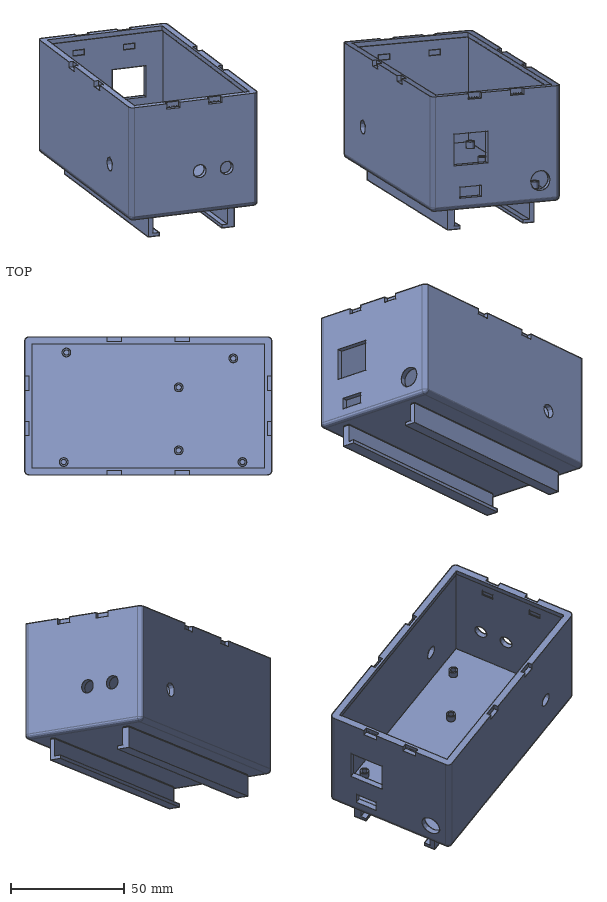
import cadquery as cq

LENGTH = 109.2
WIDTH = 61.0
TOTAL_HEIGHT = 62.5
LEG_HEIGHT = 9.9
BOX_HEIGHT = TOTAL_HEIGHT - LEG_HEIGHT
EDGE_RADIUS = 2.0

RIM_WALL = 3.2
LIP_HEIGHT = 2.2
WALL = 2.5
FLOOR = 2.5

NOTCH_LENGTH = 6.2
NOTCH_DEPTH = 2.0
NOTCH_HEIGHT = 2.5
NOTCH_SPACING_LONG = 30.0
NOTCH_SPACING_SHORT = 20.0

SNAP_LENGTH = 5.5
SNAP_HEIGHT = 2.5
SNAP_DEPTH = 0.7
SNAP_SPACING = 24.0
SNAP_TOP = BOX_HEIGHT - 6.8

POST_DIAMETER = 3.8
POST_BORE = 2.4
POST_HEIGHT = 3.0
POST_CENTERS = [
    (-36.1, 23.6),
    (37.6, 21.0),
    (13.4, 8.2),
    (13.4, -19.7),
    (-37.3, -24.8),
    (41.6, -24.8),
]

SIDE_HOLE_DIAMETER = 6.0
SIDE_HOLE_Z = BOX_HEIGHT - 33.1
LONG_SIDE_HOLE_X = 30.1
END_HOLE_YS = [15.4, 2.5]

WINDOW_WIDTH, WINDOW_HEIGHT = 15.9, 14.4
WINDOW_Y, WINDOW_Z = 11.9, 27.5
SLOT_WIDTH, SLOT_HEIGHT = 10.2, 5.0
SLOT_Y, SLOT_Z = 12.0, 7.9
CABLE_HOLE_DIAMETER = 9.0
CABLE_HOLE_Y, CABLE_HOLE_Z = -21.0, 10.0

LEG_LENGTH = 99.2
LEG_INNER_Y = 17.7
LEG_BACK_THICKNESS = 3.3
LEG_FRONT_THICKNESS = 2.3
HOOK_REACH_BACK = 2.6
HOOK_REACH_FRONT = 3.0
HOOK_HEIGHT = 1.5
LEG_CHAMFER_HEIGHT = 0.5
LEG_CHAMFER_INSET = 0.3


def block(x_size, y_size, z_size, x, y, z_bottom):
    """Box centred on x and y, standing on z_bottom."""
    return cq.Workplane("XY").box(x_size, y_size, z_size, (True, True, False)).translate((x, y, z_bottom))


def end_bore(diameter, y, z, x_direction):
    """Cylinder along X that pierces only the end wall on the given side."""
    start = cq.Vector(x_direction * LENGTH / 4, y, z)
    return cq.Workplane(
        cq.Solid.makeCylinder(diameter / 2, LENGTH / 2, start, cq.Vector(x_direction, 0, 0))
    )


def shell():
    outside = block(LENGTH, WIDTH, BOX_HEIGHT, 0, 0, 0)
    outside = outside.edges("|Z or <Z").fillet(EDGE_RADIUS)
    lower_height = BOX_HEIGHT - LIP_HEIGHT - FLOOR
    cavity = block(LENGTH - 2 * WALL, WIDTH - 2 * WALL, lower_height, 0, 0, FLOOR)
    opening = block(LENGTH - 2 * RIM_WALL, WIDTH - 2 * RIM_WALL, BOX_HEIGHT, 0, 0, FLOOR)
    return outside.cut(cavity).cut(opening)


def cut_rim_notches(body):
    z = BOX_HEIGHT - NOTCH_HEIGHT
    for side in (-1, 1):
        for shift in (-0.5, 0.5):
            x = shift * NOTCH_SPACING_LONG
            y = shift * NOTCH_SPACING_SHORT
            long_y = side * WIDTH / 2
            end_x = side * LENGTH / 2
            body = body.cut(block(NOTCH_LENGTH, 2 * NOTCH_DEPTH, NOTCH_HEIGHT, x, long_y, z))
            body = body.cut(block(2 * NOTCH_DEPTH, NOTCH_LENGTH, NOTCH_HEIGHT, end_x, y, z))
    return body


def cut_snap_recesses(body):
    across = LENGTH - 2 * WALL + 2 * SNAP_DEPTH
    for y in (-SNAP_SPACING / 2, SNAP_SPACING / 2):
        body = body.cut(block(across, SNAP_LENGTH, SNAP_HEIGHT, 0, y, SNAP_TOP - SNAP_HEIGHT))
    return body


def cut_wall_openings(body):
    long_hole = cq.Solid.makeCylinder(
        SIDE_HOLE_DIAMETER / 2,
        WIDTH,
        cq.Vector(LONG_SIDE_HOLE_X, -WIDTH / 2, SIDE_HOLE_Z),
        cq.Vector(0, 1, 0),
    )
    body = body.cut(cq.Workplane(long_hole))
    for y in END_HOLE_YS:
        body = body.cut(end_bore(SIDE_HOLE_DIAMETER, y, SIDE_HOLE_Z, 1))
    body = body.cut(end_bore(CABLE_HOLE_DIAMETER, CABLE_HOLE_Y, CABLE_HOLE_Z, -1))
    for width, height, y, z in (
        (WINDOW_WIDTH, WINDOW_HEIGHT, WINDOW_Y, WINDOW_Z),
        (SLOT_WIDTH, SLOT_HEIGHT, SLOT_Y, SLOT_Z),
    ):
        body = body.cut(block(4 * WALL, width, height, -LENGTH / 2, y, z - height / 2))
    return body


def posts():
    return (
        cq.Workplane("XY", origin=(0, 0, FLOOR))
        .pushPoints(POST_CENTERS)
        .circle(POST_DIAMETER / 2)
        .circle(POST_BORE / 2)
        .extrude(POST_HEIGHT)
    )


def leg(side, thickness, hook_reach):
    """Straight leg with a foot hooked toward the middle; side is the sign of its y."""
    wall_y = side * (LEG_INNER_Y + thickness / 2)
    wall = block(LEG_LENGTH, thickness, LEG_HEIGHT, 0, wall_y, -LEG_HEIGHT)
    wall = wall.faces(">Z").chamfer(LEG_CHAMFER_HEIGHT, LEG_CHAMFER_INSET)
    hook_y = side * (LEG_INNER_Y - hook_reach / 2)
    hook = block(LEG_LENGTH, hook_reach, HOOK_HEIGHT, 0, hook_y, -LEG_HEIGHT)
    return wall.union(hook)


body = shell()
body = cut_rim_notches(body)
body = cut_snap_recesses(body)
body = cut_wall_openings(body)
body = body.union(posts())
body = body.union(leg(1, LEG_BACK_THICKNESS, HOOK_REACH_BACK))
result = body.union(leg(-1, LEG_FRONT_THICKNESS, HOOK_REACH_FRONT))